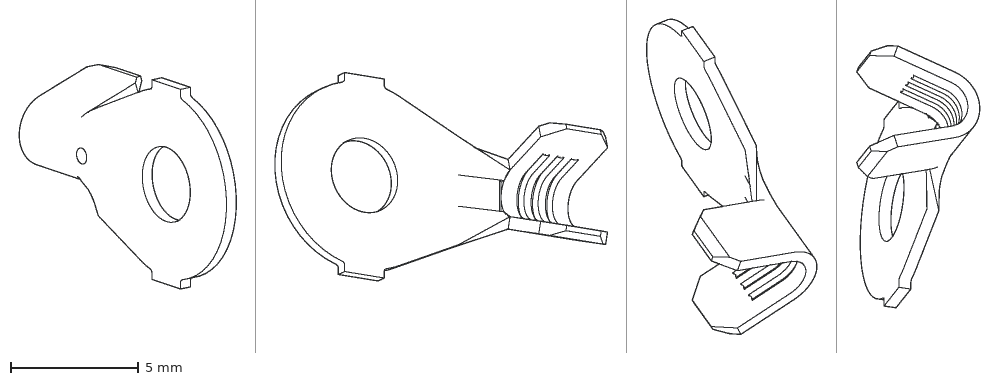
import cadquery as cq
import math


stock = 0.5
barrel_length = 3.05
barrel_outer_radius = 1.5
barrel_inner_radius = barrel_outer_radius - stock
wing_angle = math.radians(18)
overall_depth = 4.32
tip_bevel_length = 0.46
tip_bevel_depth = 0.28
corner_cut_x = 0.74
corner_cut_along = 0.8

groove_count = 3
groove_pitch = 0.65
groove_width = 0.32
groove_depth = 0.16
groove_top = 2.5

tongue_start = 4.98
tongue_half_width = 2.205
ring_centre_x = 9.27
ring_radius = 3.8
hole_radius = 1.51
tab_width = 1.81
tab_half_span = 4.065
tab_root_radius = 0.15

neck_floor = 0.73
neck_pad_x = 3.94
neck_pad_radius = 0.32


wing_cos = math.cos(wing_angle)
wing_sin = math.sin(wing_angle)
inner_tangent_y = barrel_outer_radius - barrel_inner_radius * wing_sin
wing_length = (overall_depth - inner_tangent_y) / wing_cos


def wing_point(side, along, offset):
    """Point on a wing, at a distance along it from the bend and an offset from its inner face."""
    radius = barrel_inner_radius + offset
    z = radius * wing_cos + along * wing_sin
    y = barrel_outer_radius - radius * wing_sin + along * wing_cos
    return (side * z, y)


def section_plane(x):
    """Section plane across the part, with local axes (Z, Y)."""
    return cq.Workplane(cq.Plane(origin=(x, 0, 0), xDir=(0, 0, 1), normal=(-1, 0, 0)))


def make_barrel():
    bevel_start = wing_length - tip_bevel_length
    tip_offset = stock - tip_bevel_depth
    barrel = (
        section_plane(0)
        .moveTo(*wing_point(-1, wing_length, 0))
        .lineTo(*wing_point(-1, wing_length, tip_offset))
        .lineTo(*wing_point(-1, bevel_start, stock))
        .lineTo(*wing_point(-1, 0, stock))
        .threePointArc((0, 0), wing_point(1, 0, stock))
        .lineTo(*wing_point(1, bevel_start, stock))
        .lineTo(*wing_point(1, wing_length, tip_offset))
        .lineTo(*wing_point(1, wing_length, 0))
        .lineTo(*wing_point(1, 0, 0))
        .threePointArc((0, stock), wing_point(-1, 0, 0))
        .close()
        .extrude(-barrel_length)
    )
    return barrel.cut(make_corner_cuts(1)).cut(make_corner_cuts(-1))


def make_corner_cuts(side):
    """Wedges, square to the wing face, that remove both tip corners of one wing."""
    tip_z, tip_y = wing_point(side, wing_length, 0)
    wing_plane = cq.Plane(
        origin=(0, tip_y, tip_z),
        xDir=(1, 0, 0),
        normal=(0, -wing_sin, side * wing_cos),
    )
    down = -side * corner_cut_along
    cuts = cq.Workplane(wing_plane)
    for end_x, inward in ((0, 1), (barrel_length, -1)):
        cuts = (
            cuts.moveTo(end_x, 0)
            .lineTo(end_x + inward * corner_cut_x, 0)
            .lineTo(end_x, down)
            .close()
        )
    return cuts.extrude(stock, both=True)


def channel_section(sketch, offset, along):
    """Add the closed U-shaped inside of the barrel, grown outward by an offset."""
    return (
        sketch.moveTo(*wing_point(-1, along, offset))
        .lineTo(*wing_point(-1, 0, offset))
        .threePointArc((0, stock - offset), wing_point(1, 0, offset))
        .lineTo(*wing_point(1, along, offset))
        .close()
    )


def make_groove(start_x):
    """V-shaped cutter that follows the inside of the bend and part of each wing."""
    along = (groove_top - inner_tangent_y) / wing_cos
    half_width = groove_width / 2
    sections = channel_section(section_plane(start_x), 0, along)
    sections = channel_section(sections.workplane(offset=-half_width), groove_depth, along)
    sections = channel_section(sections.workplane(offset=-half_width), 0, along)
    return sections.loft(ruled=True)


def cut_grooves(barrel):
    first_x = (barrel_length - (groove_count - 1) * groove_pitch - groove_width) / 2
    for index in range(groove_count):
        barrel = barrel.cut(make_groove(first_x + index * groove_pitch))
    return barrel


def make_neck():
    """Ruled blend from the barrel bend to the flat tongue, open on the inside."""
    floor_half = math.sqrt(barrel_inner_radius**2 - (barrel_outer_radius - neck_floor) ** 2)
    neck = (
        section_plane(barrel_length)
        .moveTo(*wing_point(-1, 0, stock))
        .threePointArc((0, 0), wing_point(1, 0, stock))
        .lineTo(*wing_point(1, 0, 0))
        .lineTo(floor_half, neck_floor)
        .lineTo(-floor_half, neck_floor)
        .lineTo(*wing_point(-1, 0, 0))
        .close()
        .workplane(offset=-(tongue_start - barrel_length))
        .moveTo(-tongue_half_width, 0)
        .lineTo(tongue_half_width, 0)
        .lineTo(tongue_half_width, stock)
        .lineTo(floor_half, stock)
        .lineTo(-floor_half, stock)
        .lineTo(-tongue_half_width, stock)
        .close()
        .loft(ruled=True, combine=True)
    )
    ramp_rise = neck_floor - stock
    ramp = (
        cq.Workplane("XY")
        .moveTo(barrel_length, stock)
        .lineTo(barrel_length + ramp_rise, neck_floor)
        .lineTo(barrel_length, neck_floor)
        .close()
        .extrude(floor_half, both=True)
    )
    pad = (
        cq.Workplane("XZ")
        .center(neck_pad_x, 0)
        .circle(neck_pad_radius)
        .extrude(-stock / 2)
    )
    return neck.cut(ramp).union(pad)


def make_tongue():
    reach = ring_centre_x - tongue_start
    tangent_angle = math.asin(ring_radius / math.hypot(reach, tongue_half_width))
    tangent_angle -= math.atan2(tongue_half_width, reach)
    tangent_x = ring_centre_x - ring_radius * math.sin(tangent_angle)
    tangent_z = ring_radius * math.cos(tangent_angle)
    outline = (
        cq.Workplane("XZ")
        .moveTo(tongue_start, -tongue_half_width)
        .lineTo(tangent_x, -tangent_z)
        .threePointArc((ring_centre_x + ring_radius, 0), (tangent_x, tangent_z))
        .lineTo(tongue_start, tongue_half_width)
        .close()
        .extrude(-stock)
    )
    tabs = (
        cq.Workplane("XZ")
        .center(ring_centre_x, 0)
        .rect(tab_width, 2 * tab_half_span)
        .extrude(-stock)
    )
    hole = (
        cq.Workplane("XZ")
        .center(ring_centre_x, 0)
        .circle(hole_radius)
        .extrude(-stock)
    )
    box_half_x = tab_width / 2 + tab_root_radius
    box_half_z = tab_half_span - tab_root_radius
    root_box = cq.selectors.BoxSelector(
        (ring_centre_x - box_half_x, -stock, -box_half_z),
        (ring_centre_x + box_half_x, 2 * stock, box_half_z),
    )
    ring = outline.union(tabs).edges("|Y").edges(root_box).fillet(tab_root_radius)
    return ring.cut(hole)


barrel = cut_grooves(make_barrel())
result = barrel.union(make_neck()).union(make_tongue())